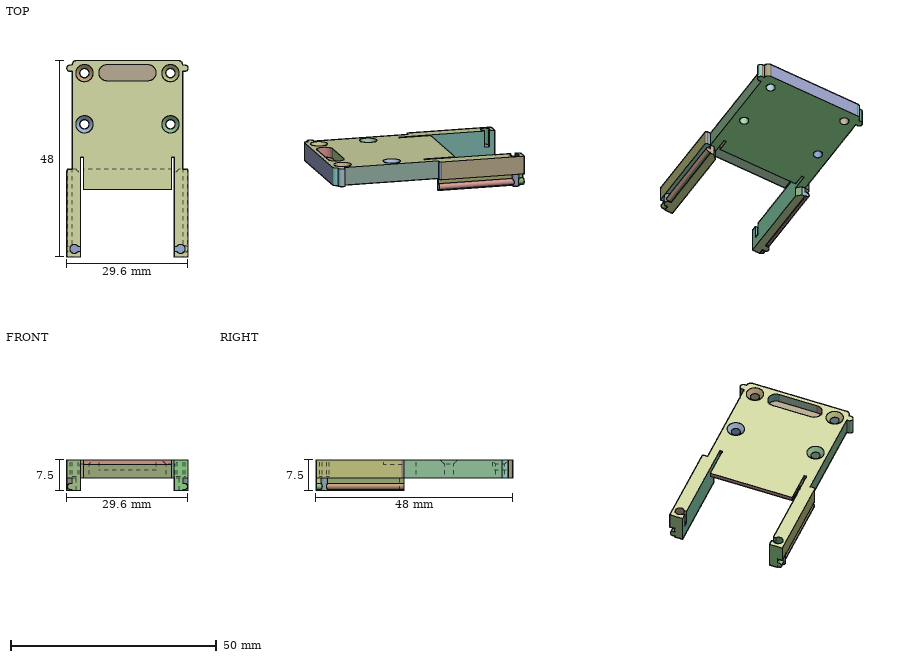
import cadquery as cq

LENGTH = 48.0
WIDTH = 29.6
HEIGHT = 7.5

PLATE_WIDTH = 27.0
PLATE_THICKNESS = 4.45
PLATE_CORNER_RADIUS = 1.15

ARM_WIDTH = 3.4
ARM_LENGTH = 21.45
ARM_CORNER_RADIUS = 0.5
LOWER_ARM_CHAMFER = 1.15

TONGUE_WIDTH = 21.5
TONGUE_THICKNESS = 1.1
TONGUE_FRONT_Y = 16.45
SLOT_END_Y = 24.35

LUG_DIAMETER = 1.6
REAR_LUG_Y = 46.1
FRONT_LUG_Y = 2.0
RAIL_DIAMETER = 1.5
RAIL_Z = 1.0
RAIL_REACH = 1.15

SOCKET_DIAMETER = 2.2
SOCKET_NECK_WIDTH = 1.2
SOCKET_DEPTH = 4.05
SOCKET_X = 12.95
SOCKET_Y = FRONT_LUG_Y

HOLE_DIAMETER = 2.2
COUNTERSINK_DIAMETER = 4.2
COUNTERSINK_ANGLE = 90
HOLE_SPACING_X = 21.0
HOLE_ROWS_Y = (44.9, 32.4)

POCKET_LENGTH = 13.95
POCKET_WIDTH = 3.95
POCKET_DEPTH = 2.5
POCKET_Y = 45.0

PLATE_BOTTOM_Z = HEIGHT - PLATE_THICKNESS
WALL_X = PLATE_WIDTH / 2
ARM_OUTER_X = WIDTH / 2
ARM_INNER_X = ARM_OUTER_X - ARM_WIDTH


def block(x_min, x_max, y_min, y_max, z_min, z_max):
    """Box given by its limits along each axis."""
    size = (x_max - x_min, y_max - y_min, z_max - z_min)
    return cq.Workplane("XY").box(*size, centered=False).translate((x_min, y_min, z_min))


def plate():
    """Main plate with rounded rear corners."""
    body = block(-WALL_X, WALL_X, ARM_LENGTH, LENGTH, PLATE_BOTTOM_Z, HEIGHT)
    return body.edges("|Z and >Y").fillet(PLATE_CORNER_RADIUS)


def tongue():
    """Thin tongue that continues the top of the plate between the arms."""
    half = TONGUE_WIDTH / 2
    return block(-half, half, TONGUE_FRONT_Y, SLOT_END_Y, HEIGHT - TONGUE_THICKNESS, HEIGHT)


def tongue_slot():
    """Narrow gap that separates the tongue from the right-hand arm."""
    return block(TONGUE_WIDTH / 2, ARM_INNER_X, 0, SLOT_END_Y, 0, HEIGHT)


def lug(y, z_min, z_max):
    """Round-nosed vertical lug on the right-hand wall."""
    radius = LUG_DIAMETER / 2
    nose_x = ARM_OUTER_X - radius
    nose = cq.Workplane("XY", origin=(nose_x, y, z_min)).circle(radius).extrude(z_max - z_min)
    neck = block(WALL_X, nose_x, y - radius, y + radius, z_min, z_max)
    return nose.union(neck)


def rail():
    """Round-nosed rail along the lower part of the right-hand arm."""
    radius = RAIL_DIAMETER / 2
    nose_x = WALL_X + RAIL_REACH - radius
    nose = cq.Workplane("XZ", origin=(nose_x, 0, RAIL_Z)).circle(radius).extrude(-ARM_LENGTH)
    neck = block(WALL_X, nose_x, 0, ARM_LENGTH, RAIL_Z - radius, RAIL_Z + radius)
    return nose.union(neck)


def socket():
    """Blind keyhole that opens through the inner face of the right-hand arm."""
    bottom_z = HEIGHT - SOCKET_DEPTH
    half_neck = SOCKET_NECK_WIDTH / 2
    bore = (
        cq.Workplane("XY", origin=(SOCKET_X, SOCKET_Y, bottom_z))
        .circle(SOCKET_DIAMETER / 2)
        .extrude(SOCKET_DEPTH)
    )
    neck = block(ARM_INNER_X, SOCKET_X, SOCKET_Y - half_neck, SOCKET_Y + half_neck, bottom_z, HEIGHT)
    return bore.union(neck)


def arm():
    """Right-hand arm: full-width upper part over a recessed lower part.

    The rear inner corner of the lower part is chamfered.
    """
    upper = block(ARM_INNER_X, ARM_OUTER_X, 0, ARM_LENGTH, PLATE_BOTTOM_Z, HEIGHT)
    upper = upper.edges("|Z and >X and >Y").fillet(ARM_CORNER_RADIUS)
    lower = block(ARM_INNER_X, WALL_X, 0, ARM_LENGTH, 0, PLATE_BOTTOM_Z)
    lower = lower.edges("|Z and <X and >Y").chamfer(LOWER_ARM_CHAMFER)
    body = upper.union(lower).union(rail())
    return body.union(lug(FRONT_LUG_Y, 0, PLATE_BOTTOM_Z)).cut(socket())


def both_sides(right_side):
    """A right-hand feature together with its mirror image."""
    return right_side.union(right_side.mirror("YZ"))


result = plate().cut(both_sides(tongue_slot())).union(tongue())
result = result.union(both_sides(arm()))
result = result.union(both_sides(lug(REAR_LUG_Y, PLATE_BOTTOM_Z, HEIGHT)))

hole_centres = [(side * HOLE_SPACING_X / 2, y) for side in (-1, 1) for y in HOLE_ROWS_Y]
result = (
    result.copyWorkplane(cq.Workplane("XY", origin=(0, 0, HEIGHT)))
    .pushPoints(hole_centres)
    .cskHole(HOLE_DIAMETER, COUNTERSINK_DIAMETER, COUNTERSINK_ANGLE)
)

pocket = (
    cq.Workplane("XY", origin=(0, POCKET_Y, HEIGHT - POCKET_DEPTH))
    .slot2D(POCKET_LENGTH, POCKET_WIDTH)
    .extrude(POCKET_DEPTH)
)
result = result.cut(pocket)